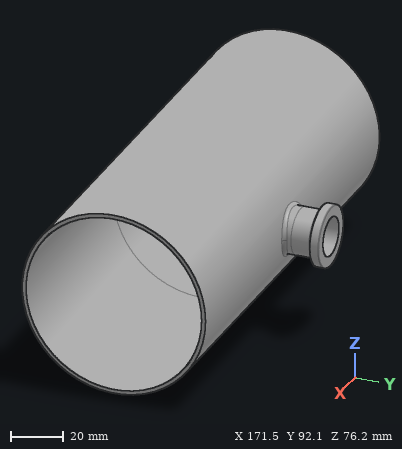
import cadquery as cq
import math

tube_length = 171.45
tube_outer_diameter = 76.2
tube_inner_diameter = 72.9

branch_reach = 53.98
branch_outer_diameter = 19.05
branch_bore_diameter = 15.75
ferrule_length = 12.7

flange_diameter = 24.99
flange_rim_length = 3.6
flange_back_angle = 20.0
flange_edge_radius = 0.25
flange_root_radius = 0.8

joint_fillet_radius = 1.5

tube_outer_radius = tube_outer_diameter / 2
tube_inner_radius = tube_inner_diameter / 2
branch_outer_radius = branch_outer_diameter / 2
flange_radius = flange_diameter / 2


def cylinder_along_x(radius):
    """Full-length cylinder on the tube axis, centred on the origin."""
    return cq.Workplane("YZ").circle(radius).extrude(tube_length / 2, both=True)


def cylinder_along_y(radius, length):
    """Cylinder on the branch axis, starting at the tube axis."""
    return cq.Workplane("XZ").circle(radius).extrude(-length)


def make_joined_stub():
    """Solid tube with the branch stub, filleted where they meet."""
    stub_end = branch_reach - ferrule_length
    body = cylinder_along_x(tube_outer_radius).union(cylinder_along_y(branch_outer_radius, stub_end))
    saddle = cq.selectors.BoxSelector(
        (-branch_outer_radius, tube_outer_radius / 2, -branch_outer_radius),
        (branch_outer_radius, tube_outer_radius, branch_outer_radius),
    )
    return body.edges(saddle).fillet(joint_fillet_radius)


def circle_at(radius, y):
    """Selector for the edge circle around the branch axis at one height."""
    margin = 0.01
    reach = radius + margin
    return cq.selectors.BoxSelector(
        (-reach, y - margin, -reach),
        (reach, y + margin, reach),
        boundingbox=True,
    )


def make_ferrule():
    """Revolved ferrule: plain neck, tapered flange back, rim and face."""
    neck_start = branch_reach - ferrule_length
    rim_start = branch_reach - flange_rim_length
    taper_drop = (flange_radius - branch_outer_radius) * math.tan(math.radians(flange_back_angle))
    taper_end = rim_start - taper_drop
    ferrule = (
        cq.Workplane("XY")
        .moveTo(0, neck_start)
        .lineTo(branch_outer_radius, neck_start)
        .lineTo(branch_outer_radius, taper_end)
        .lineTo(flange_radius, rim_start)
        .lineTo(flange_radius, branch_reach)
        .lineTo(0, branch_reach)
        .close()
        .revolve(360, (0, 0, 0), (0, 1, 0))
    )
    ferrule = ferrule.faces(">Y").edges().fillet(flange_edge_radius)
    ferrule = ferrule.edges(circle_at(flange_radius, rim_start)).fillet(flange_edge_radius)
    return ferrule.edges(circle_at(branch_outer_radius, taper_end)).fillet(flange_root_radius)


body = make_joined_stub().union(make_ferrule(), clean=False)
body = body.cut(cylinder_along_x(tube_inner_radius), clean=False)
result = body.cut(cylinder_along_y(branch_bore_diameter / 2, branch_reach), clean=False)